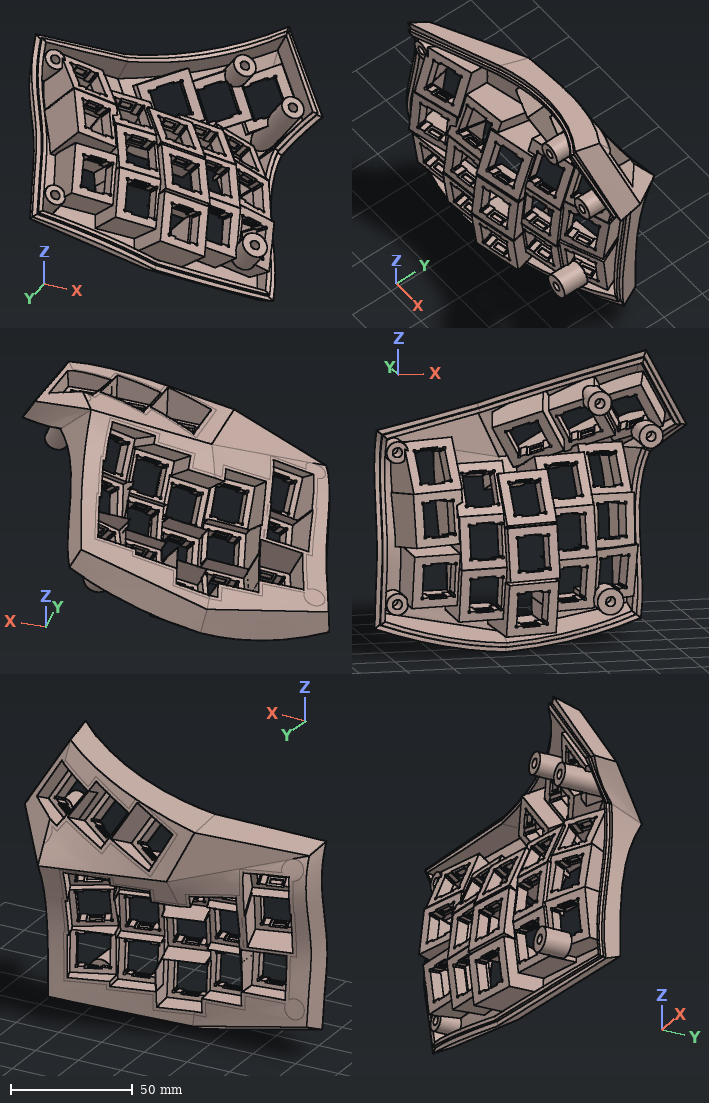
import cadquery as cq
import math

RIM_POINTS = {
    "left": [(0, 10.8, 96.2), (0, 14.8, 81.8), (0, 10.1, 45.0), (0, 12.1, 29.2)],
    "bottom left": [(0, 14.4, 12.2), (22.6, 10.9, 5.7)],
    "bottom right": [(55.6, 14.5, 0), (89.1, 22.3, 2.7)],
    "right": [(117, 32.2, 8.1), (117, 32.2, 35.9), (117.3, 34.5, 59.3)],
    "inner bend": [(121, 32.6, 77.8), (126.2, 24.6, 84.3)],
    "thumb end": [(133, 18.1, 91.2)],
    "thumb top": [(113.7, 9.3, 125), (89.1, 21.0, 115.7), (60.9, 24.6, 107.3)],
    "main top": [(45.5, 23.0, 103.4), (22.6, 16.6, 99.7)],
}
BROW_POINTS = {
    "left": [(3.0, 20, 92.7), (2.8, 23.3, 81.8), (2.8, 18.9, 47.5), (2.8, 20.7, 31.9)],
    "bottom left": [(2.8, 22.7, 16.1)],
    "bottom right": [(55.6, 24.2, 5.3)],
    "right": [(114.3, 40.3, 12.1), (114.3, 40.5, 35.9), (113.9, 43.6, 57.8)],
    "inner bend": [(113.3, 51.0, 76.2)],
    "thumb end": [(131.1, 29.6, 91.7)],
    "thumb top": [(114.0, 21.7, 121.2), (97.6, 29.6, 115.3), (76.6, 34.5, 108.1)],
    "main top": [(47.6, 36.8, 100.1)],
}
SKIN_CORNER = (58.5, 41.0, 77.1)
SKIN_DIP = (53.2, 29.2, 43.9)

SKIN = 2.0
WALL = 4.1
RIM_FLAT = 2.3
TONGUE = 1.3
FAR = 39.9

BLOCK_WIDTH = 22.6
BLOCK_HEIGHT = 22.3
WELL = 19.4
PLATE = 5.3
OPENING = 14.0
CORNER_RELIEF = 0.5
OPENING_LENGTH = PLATE + 1.3
CLIP_WIDTH = 7.5
CLIP_DEPTH = 0.7
CATCH_WIDTH = 5.3
CATCH_HEIGHT = 2.7
CATCH_DEPTH = 1.3

TILTS = (-24, -7.5, 8)
COLUMNS = [
    [((23.8, 10.6, 80.3), 15, 0), ((25.0, 4.4, 59.2), 15, 0), ((25.1, 5.0, 33.0), 7, 0)],
    [((44.0, 11.2, 69.7), 7, 0), ((45.2, 5.6, 48.5), 7, 0), ((45.1, 5.3, 26.3), 7, 0)],
    [((64.0, 11.3, 65.0), 12, 0), ((65.3, 5.3, 42.7), 12, 0), ((64.9, 5.6, 19.3), 12, 0)],
    [((81.4, 19.4, 69.8), 12, 0), ((82.8, 14.0, 49.2), 12, 0), ((83.1, 14.4, 27.1), 12, 0)],
    [((100.6, 27.7, 72.2), 22, 4), ((102.4, 22.0, 51.6), 22, 4), ((102.8, 21.3, 29.5), 22, 0)],
]
THUMB_KEYS = [
    ((67.5, 25.0, 86.7), (113, -52, 46), (0.22, 0.87, 0.45)),
    ((89.2, 25.3, 92.1), (113, -52, 46), (0.22, 0.87, 0.45)),
    ((108.6, 21.8, 96.4), (113, -62, 46), (0.3, 0.85, 0.42)),
]

BOSS_FRONT = 10.9
SCREW = 4
SCREW_DEPTH = 8
SKIN_BOSSES = [
    (8.9, 86.4, 9.0, FAR),
    (8.9, 22.7, 9.0, FAR),
    (94.5, 103.0, 10.0, FAR),
    (116.2, 88.3, 10.0, FAR),
]
PLATE_BOSS = (99.0, 19.8, 11.0, 12)


def sides_of(loop, starts):
    """Split a loop of points into named sides, each ending at the first point of the next."""
    sides = {}
    first = 0
    for name, points in starts.items():
        last = first + len(points)
        sides[name] = (loop + loop[:1])[first:last + 1]
        first = last
    return sides


def closed(starts):
    return sides_of(sum(starts.values(), []), starts)


def inset(starts, distance):
    """Closed sides with every point moved inward, square to the loop in the XZ plane."""
    loop = sum(starts.values(), [])
    moved = []
    for i, (x, y, z) in enumerate(loop):
        before = loop[i - 1]
        after = loop[(i + 1) % len(loop)]
        into = math.atan2(z - before[2], x - before[0])
        out = math.atan2(after[2] - z, after[0] - x)
        half_turn = math.remainder(out - into, 2 * math.pi) / 2
        normal = into + half_turn + math.pi / 2
        miter = distance / math.cos(half_turn)
        moved.append((x + miter * math.cos(normal), y, z + miter * math.sin(normal)))
    return sides_of(moved, starts)


def shifted(points, dy):
    return [(x, y + dy, z) for x, y, z in points]


def shifted_sides(sides, dy):
    return {name: shifted(points, dy) for name, points in sides.items()}


def smooth(points):
    vectors = [cq.Vector(*point) for point in points]
    if len(vectors) == 2:
        return cq.Edge.makeLine(*vectors)
    return cq.Edge.makeSpline(vectors)


def walls(first, second):
    """Ruled faces joining the matching sides of two loops."""
    return [cq.Face.makeRuledSurface(smooth(first[name]), smooth(second[name])) for name in first]


def triangle(*corners):
    outline = cq.Wire.makePolygon([cq.Vector(*corner) for corner in corners], close=True)
    return cq.Face.makeFromWires(outline)


def skin_faces(brow, dy):
    """Skin across a brow loop: two corner facets and three ruled panels.

    The inner points of the skin are moved by dy along Y.
    """
    corner, dip = shifted([SKIN_CORNER, SKIN_DIP], dy)
    top_bend = brow["main top"][0]
    bottom_bend = brow["bottom right"][0]
    peak = brow["inner bend"][0]
    middle = smooth([corner, dip, bottom_bend])
    ridge = smooth([peak, corner])
    return [
        triangle(top_bend, brow["left"][0], corner),
        triangle(peak, *brow["thumb end"]),
        cq.Face.makeRuledSurface(smooth(brow["left"]), middle),
        cq.Face.makeRuledSurface(middle, smooth(brow["right"][::-1])),
        cq.Face.makeRuledSurface(smooth(brow["thumb top"]), ridge),
    ]


def sewn(faces):
    return cq.Workplane(obj=cq.Solid.makeSolid(cq.Shell.makeShell(faces)).fix())


def shell_body():
    """Thin skin and its wall, with a tongue standing forward of the rim."""
    brow = closed(BROW_POINTS)
    tongue_foot = inset(RIM_POINTS, RIM_FLAT)
    tongue_outside = shifted_sides(tongue_foot, -TONGUE)
    tongue_inside = shifted_sides(inset(RIM_POINTS, WALL), -TONGUE)
    inner_brow = shifted_sides(inset(BROW_POINTS, WALL - RIM_FLAT), -SKIN)
    loops = [brow, closed(RIM_POINTS), tongue_foot, tongue_outside, tongue_inside, inner_brow]
    faces = skin_faces(brow, 0)
    for first, second in zip(loops, loops[1:]):
        faces += walls(first, second)
    faces += skin_faces(inner_brow, -SKIN)
    return sewn(faces)


def under_skin():
    """Everything in front of the skin and inside the brow line."""
    brow = closed(BROW_POINTS)
    front = {name: [(x, -FAR, z) for x, _, z in points] for name, points in brow.items()}
    front_wire = cq.Wire.assembleEdges([smooth(points) for points in front.values()])
    faces = skin_faces(brow, 0)
    faces += walls(brow, front)
    faces.append(cq.Face.makeFromWires(front_wire))
    return sewn(faces)


def key_planes():
    """Plane of every key, on the front face, with its normal pointing outward."""
    planes = []
    for column in COLUMNS:
        for tilt, (centre, roll, turn) in zip(TILTS, column):
            location = cq.Location(cq.Vector(*centre))
            for axis, angle in (((0, 0, 1), roll), ((0, 1, 0), turn), ((1, 0, 0), tilt - 90)):
                location = location * cq.Location(cq.Vector(), cq.Vector(*axis), angle)
            planes.append(cq.Plane(location))
    for centre, along, outward in THUMB_KEYS:
        planes.append(cq.Plane(centre, along, outward))
    return planes


def key_block(plane):
    return cq.Workplane(plane).rect(BLOCK_WIDTH, BLOCK_HEIGHT).extrude(FAR)


def key_well(plane):
    return cq.Workplane(plane).workplane(offset=PLATE).rect(WELL, WELL).extrude(FAR)


def plate_opening(plane):
    """Square switch opening with clip slots above and below and round corner reliefs."""
    base = cq.Workplane(plane)
    opening = base.rect(OPENING, OPENING).extrude(OPENING_LENGTH)
    clips = base.rect(CLIP_WIDTH, OPENING + 2 * CLIP_DEPTH).extrude(OPENING_LENGTH)
    catch_base = base.workplane(offset=(PLATE - CATCH_HEIGHT) / 2)
    catches = catch_base.rect(CATCH_WIDTH, OPENING + 2 * CATCH_DEPTH).extrude(CATCH_HEIGHT)
    corners = base.rect(OPENING, OPENING, forConstruction=True).vertices()
    return opening.union(clips).union(catches).union(corners.circle(CORNER_RELIEF).extrude(OPENING_LENGTH))


def boss_cylinder(x, z, diameter, length):
    """Cylinder along +Y from the common front of the bosses."""
    front = cq.Plane((x, BOSS_FRONT, z), (1, 0, 0), (0, 1, 0))
    return cq.Workplane(front).circle(diameter / 2).extrude(length)


def joined(pieces):
    return cq.Workplane(obj=pieces[0].val().fuse(*[piece.val() for piece in pieces[1:]]))


planes = key_planes()
blocks = [key_block(plane) for plane in planes]
skin_bosses = [boss_cylinder(*boss) for boss in SKIN_BOSSES]
seats = joined(blocks + skin_bosses).intersect(under_skin())

wells = [key_well(plane) for plane in planes]
openings = [plate_opening(plane) for plane in planes]
result = shell_body().union(seats).cut(joined(wells + openings))

result = result.union(boss_cylinder(*PLATE_BOSS))
screws = [boss_cylinder(x, z, SCREW, SCREW_DEPTH) for x, z, _, _ in SKIN_BOSSES + [PLATE_BOSS]]
result = result.cut(joined(screws))